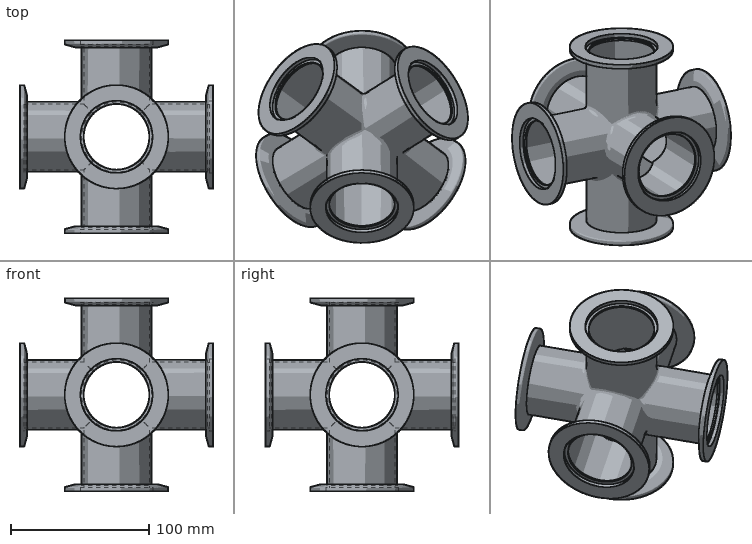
import math

import cadquery as cq

SPAN = 140.0

TUBE_OD = 50.8
TUBE_ID = 47.6
JOINT_FILLET = 3.0

FLANGE_OD = 75.0
FLANGE_THICKNESS = 5.3
RIM_FILLET = 1.0
BACK_FACE_OD = 59.4
CONE_ANGLE = 15.0
FLANGE_BORE = 47.5
COUNTERBORE_DIAMETER = 52.4
COUNTERBORE_DEPTH = 3.0
SOCKET_DIAMETER = TUBE_OD
SOCKET_DEPTH = 1.0

CONE_HEIGHT = (FLANGE_OD - BACK_FACE_OD) / 2 * math.tan(math.radians(CONE_ANGLE))
RIM_THICKNESS = FLANGE_THICKNESS - CONE_HEIGHT
TUBE_LENGTH = SPAN - 2 * (FLANGE_THICKNESS - SOCKET_DEPTH)

DIRECTIONS = [(1, 0, 0), (-1, 0, 0), (0, 1, 0), (0, -1, 0), (0, 0, 1), (0, 0, -1)]


def cylinder_along(plane_name, diameter, length):
    """Cylinder centred on the origin, along the normal of the named plane."""
    return cq.Workplane(plane_name).circle(diameter / 2).extrude(length / 2, both=True)


def crossed_cylinders(diameter):
    """Three equal cylinders that cross at the origin."""
    along_z = cylinder_along("XY", diameter, TUBE_LENGTH)
    along_y = cylinder_along("XZ", diameter, TUBE_LENGTH)
    along_x = cylinder_along("YZ", diameter, TUBE_LENGTH)
    return along_z.union(along_y).union(along_x)


def make_cross():
    """Six-way tube with filleted joints between the branches."""
    outside = crossed_cylinders(TUBE_OD)
    joints = outside.edges("%ELLIPSE")
    outside = joints.fillet(JOINT_FILLET)
    return outside.cut(crossed_cylinders(TUBE_ID))


def make_flange():
    """Flange with its sealing face on z = 0 and its back towards -Z."""
    half_section = (
        cq.Workplane("XZ")
        .lineTo(FLANGE_OD / 2, 0)
        .lineTo(FLANGE_OD / 2, -RIM_THICKNESS)
        .lineTo(BACK_FACE_OD / 2, -FLANGE_THICKNESS)
        .lineTo(0, -FLANGE_THICKNESS)
        .close()
    )
    body = half_section.revolve(360, (0, 0, 0), (0, 1, 0))
    rim_corner = body.edges("%CIRCLE").edges(">>Z[1]")
    body = rim_corner.fillet(RIM_FILLET)

    bore = cq.Workplane("XY").circle(FLANGE_BORE / 2).extrude(-FLANGE_THICKNESS)
    counterbore = cq.Workplane("XY").circle(COUNTERBORE_DIAMETER / 2).extrude(-COUNTERBORE_DEPTH)
    socket = (
        cq.Workplane("XY", origin=(0, 0, -FLANGE_THICKNESS))
        .circle(SOCKET_DIAMETER / 2)
        .extrude(SOCKET_DEPTH)
    )
    return body.cut(bore).cut(counterbore).cut(socket)


def place_flange(flange, direction):
    """Copy of the flange at the end of a branch, its sealing face outward."""
    normal = cq.Vector(*direction)
    end_plane = cq.Plane(origin=normal * (SPAN / 2), normal=normal)
    return flange.solids().val().moved(cq.Location(end_plane))


cross = make_cross()
flange = make_flange()
flanges = [place_flange(flange, direction) for direction in DIRECTIONS]

result = cq.Compound.makeCompound([cross.solids().val(), *flanges])